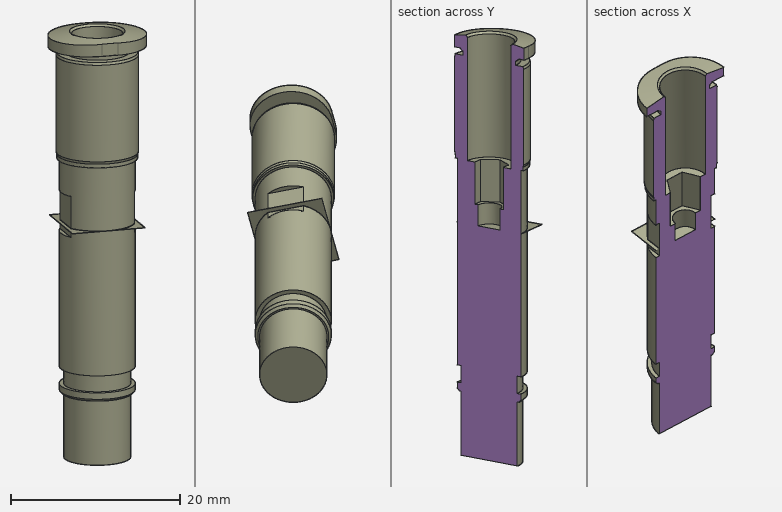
import cadquery as cq
import math

SLEEVE_R = 4.9
BODY_R = 4.51
TAIL_R = 3.99
NECK_R = 3.75

TOTAL_H = 52.15
RING_BOTTOM_Z = 7.95
RING_TOP_Z = 9.0
BODY_BOTTOM_Z = 11.1
BODY_TOP_Z = 36.65
SLEEVE_BOTTOM_Z = 37.15
SLEEVE_TOP_Z = 49.6
FLANGE_BOTTOM_Z = 50.4

RING_CHAMFER = 0.3
SLEEVE_CHAMFER_H = 0.3
SLEEVE_CHAMFER_W = 0.1
NECK_CHAMFER_H = 0.3
NECK_CHAMFER_W = 0.4

FLANGE_LENGTH = 11.8
FLANGE_WIDTH = 2 * SLEEVE_R
FLANGE_CONE_DROP = 0.4

BORE_R = 3.0
BORE_MOUTH_R = 3.3
BORE_DEPTH = 15.5
HEX_ACROSS_FLATS = 3.95
HEX_DEPTH = 5.2
PILOT_R = 1.5
PILOT_DEPTH = 2.6

FLAT_BOTTOM_Z = 27.75
FLAT_TOP_Z = 32.75
FLAT_OFFSET = 3.95
PLATE_SIDE = 2 * BODY_R
PLATE_THICKNESS = 0.05
PLATE_Z = 28.85


def turned_body():
    """Revolve the stepped outer profile from the tail up to the neck."""
    step_r = SLEEVE_R - SLEEVE_CHAMFER_W
    profile = [
        (0, 0),
        (TAIL_R, 0),
        (TAIL_R, RING_BOTTOM_Z),
        (BODY_R - RING_CHAMFER, RING_BOTTOM_Z),
        (BODY_R, RING_BOTTOM_Z + RING_CHAMFER),
        (BODY_R, RING_TOP_Z),
        (TAIL_R, RING_TOP_Z),
        (TAIL_R, BODY_BOTTOM_Z),
        (BODY_R, BODY_BOTTOM_Z),
        (BODY_R, BODY_TOP_Z),
        (step_r, BODY_TOP_Z),
        (step_r, SLEEVE_BOTTOM_Z),
        (SLEEVE_R, SLEEVE_BOTTOM_Z + SLEEVE_CHAMFER_H),
        (SLEEVE_R, SLEEVE_TOP_Z - SLEEVE_CHAMFER_H),
        (step_r, SLEEVE_TOP_Z),
        (NECK_R, SLEEVE_TOP_Z),
        (NECK_R, FLANGE_BOTTOM_Z - NECK_CHAMFER_H),
        (NECK_R + NECK_CHAMFER_W, FLANGE_BOTTOM_Z),
        (0, FLANGE_BOTTOM_Z),
    ]
    return cq.Workplane("XZ").polyline(profile).close().revolve(360, (0, 0), (0, 1))


def release_flange():
    """Trim a cone-topped disc to an oblong outline with its long side along Y."""
    rim_r = FLANGE_LENGTH / 2
    profile = [
        (0, FLANGE_BOTTOM_Z),
        (rim_r, FLANGE_BOTTOM_Z),
        (rim_r, TOTAL_H - FLANGE_CONE_DROP),
        (BORE_MOUTH_R, TOTAL_H),
        (0, TOTAL_H),
    ]
    disc = cq.Workplane("XZ").polyline(profile).close().revolve(360, (0, 0), (0, 1))
    outline = (
        cq.Workplane("XY")
        .workplane(offset=FLANGE_BOTTOM_Z)
        .slot2D(FLANGE_LENGTH, FLANGE_WIDTH, 90)
        .extrude(TOTAL_H - FLANGE_BOTTOM_Z)
    )
    return disc.intersect(outline)


def wrench_flat_cutter(side):
    """Block that leaves one flat on the -Y (side=-1) or +Y (side=1) face of the body."""
    block_depth = BODY_R
    return (
        cq.Workplane("XY")
        .workplane(offset=FLAT_BOTTOM_Z)
        .center(0, side * (FLAT_OFFSET + block_depth / 2))
        .rect(2 * BODY_R, block_depth)
        .extrude(FLAT_TOP_Z - FLAT_BOTTOM_Z)
    )


def square_plate():
    """Thin square plate around the body, as wide as the body diameter."""
    return cq.Workplane("XY").box(PLATE_SIDE, PLATE_SIDE, PLATE_THICKNESS).translate((0, 0, PLATE_Z))


def stepped_bore():
    """Round bore with a chamfered mouth, then a hexagon socket, then a pilot hole."""
    bore_floor_z = TOTAL_H - BORE_DEPTH
    hex_floor_z = bore_floor_z - HEX_DEPTH
    mouth_chamfer = BORE_MOUTH_R - BORE_R
    profile = [
        (0, bore_floor_z),
        (BORE_R, bore_floor_z),
        (BORE_R, TOTAL_H - mouth_chamfer),
        (BORE_MOUTH_R, TOTAL_H),
        (0, TOTAL_H),
    ]
    bore = cq.Workplane("XZ").polyline(profile).close().revolve(360, (0, 0), (0, 1))
    hex_across_corners = HEX_ACROSS_FLATS / math.cos(math.pi / 6)
    socket = (
        cq.Workplane("XY")
        .polygon(6, hex_across_corners)
        .extrude(HEX_DEPTH)
        .rotate((0, 0, 0), (0, 0, 1), 90)
        .translate((0, 0, hex_floor_z))
    )
    pilot = cq.Workplane("XY").workplane(offset=hex_floor_z).circle(PILOT_R).extrude(-PILOT_DEPTH)
    return bore.union(socket).union(pilot)


body = turned_body().union(release_flange())
for flat_side in (-1, 1):
    body = body.cut(wrench_flat_cutter(flat_side))

result = body.union(square_plate()).cut(stepped_bore())